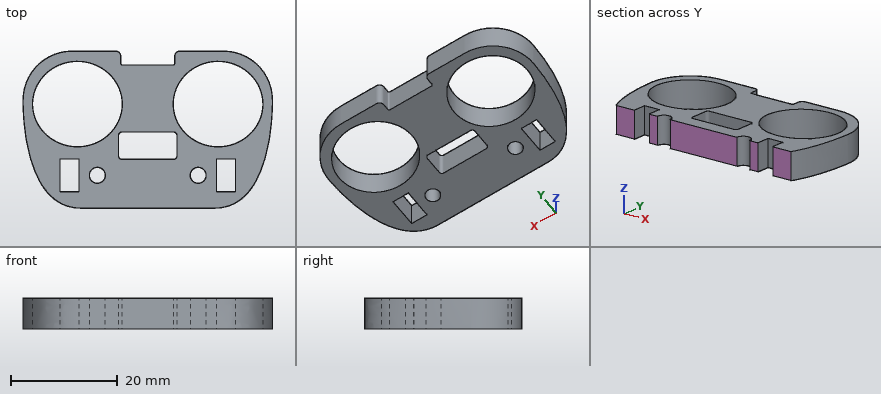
import cadquery as cq

WIDTH = 46.85
DEPTH = 29.52
THICKNESS = 5.85
HALF_WIDTH = WIDTH / 2
BACK_Y = DEPTH / 2
FRONT_Y = -DEPTH / 2

BACK_CORNER_RADIUS = 9.22
SIDE_FLAT = 0.28
FRONT_EDGE_HALF = 12.5
SIDE_HANDLE = 3.28
FRONT_HANDLE = 10.39
FLAT_TOP_Y = BACK_Y - BACK_CORNER_RADIUS
FLAT_BOTTOM_Y = FLAT_TOP_Y - SIDE_FLAT

OVAL_WIDTH = 16.8
OVAL_HEIGHT = 16.0
OVAL_X = 13.2
OVAL_Y = 4.8

NOTCH_WIDTH = 10.1
NOTCH_DEPTH = 2.6
NOTCH_MOUTH_RADIUS = 1.0
NOTCH_FLOOR_RADIUS = 0.3

WINDOW_WIDTH = 10.9
WINDOW_HEIGHT = 5.1
WINDOW_Y = -3.0
WINDOW_RADIUS = 0.6

SLOT_WIDTH = 3.5
SLOT_HEIGHT = 6.1
SLOT_X = 14.7
HOLE_DIAMETER = 2.95
HOLE_X = 9.46
LOWER_ROW_Y = -8.57


def mirrored_places(x, y):
    """Points at +x and -x for a feature repeated on both halves."""
    return [(-x, y), (x, y)]


def make_plate():
    """Solid right half of the plate, mirrored about the YZ plane."""
    arc_centre_x = HALF_WIDTH - BACK_CORNER_RADIUS
    half = (
        cq.Workplane("XY")
        .moveTo(0, BACK_Y)
        .lineTo(arc_centre_x, BACK_Y)
        .radiusArc((HALF_WIDTH, FLAT_TOP_Y), BACK_CORNER_RADIUS)
        .lineTo(HALF_WIDTH, FLAT_BOTTOM_Y)
        .bezier([
            (HALF_WIDTH, FLAT_BOTTOM_Y),
            (HALF_WIDTH, FLAT_BOTTOM_Y - SIDE_HANDLE),
            (FRONT_EDGE_HALF + FRONT_HANDLE, FRONT_Y),
            (FRONT_EDGE_HALF, FRONT_Y),
        ])
        .lineTo(0, FRONT_Y)
        .close()
        .extrude(THICKNESS)
    )
    return half.union(half.mirror("YZ")).clean()


def cut_notch(plate):
    """Notch in the back edge with rounded mouth and floor corners."""
    floor_y = BACK_Y - NOTCH_DEPTH
    notch = (
        cq.Workplane("XY")
        .center(0, BACK_Y)
        .rect(NOTCH_WIDTH, 2 * NOTCH_DEPTH)
        .extrude(THICKNESS)
    )
    plate = plate.cut(notch)
    for corner_y, radius in ((BACK_Y, NOTCH_MOUTH_RADIUS), (floor_y, NOTCH_FLOOR_RADIUS)):
        for corner_x, _ in mirrored_places(NOTCH_WIDTH / 2, corner_y):
            corner = cq.selectors.NearestToPointSelector((corner_x, corner_y, THICKNESS / 2))
            plate = plate.edges("|Z").edges(corner).fillet(radius)
    return plate


def oval_cutter():
    return (
        cq.Workplane("XY")
        .pushPoints(mirrored_places(OVAL_X, OVAL_Y))
        .ellipse(OVAL_WIDTH / 2, OVAL_HEIGHT / 2)
        .extrude(THICKNESS)
    )


def window_cutter():
    return (
        cq.Workplane("XY")
        .center(0, WINDOW_Y)
        .rect(WINDOW_WIDTH, WINDOW_HEIGHT)
        .extrude(THICKNESS)
        .edges("|Z")
        .fillet(WINDOW_RADIUS)
    )


def slot_cutter():
    return (
        cq.Workplane("XY")
        .pushPoints(mirrored_places(SLOT_X, LOWER_ROW_Y))
        .rect(SLOT_WIDTH, SLOT_HEIGHT)
        .extrude(THICKNESS)
    )


def hole_cutter():
    return (
        cq.Workplane("XY")
        .pushPoints(mirrored_places(HOLE_X, LOWER_ROW_Y))
        .circle(HOLE_DIAMETER / 2)
        .extrude(THICKNESS)
    )


result = cut_notch(make_plate())
for cutter in (oval_cutter(), window_cutter(), slot_cutter(), hole_cutter()):
    result = result.cut(cutter)